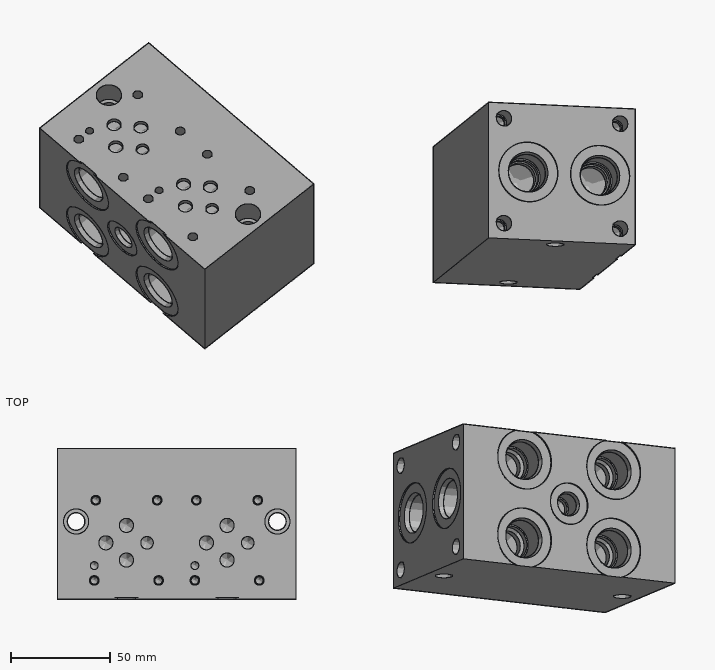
import cadquery as cq
import math

LENGTH = 120.65
WIDTH = 76.2
HEIGHT = 69.85
DRILL_POINT_ANGLE = 118.0

STATION_SPACING = 50.8
STATIONS = [LENGTH / 2 + side * STATION_SPACING / 2 for side in (-1, 1)]

PORT_SPOTFACE_DIA = 30.63
PORT_SEAT_DIA = 20.6
PORT_SEAT_END_DIA = 19.25
PORT_THREAD_DIA = 19.05
PORT_TAP_DRILL_DIA = 17.5
PORT_SEAT_DEPTH = 2.5
PORT_THREAD_DEPTH = 14.3
PORT_TAP_DRILL_DEPTH = 17.5
PORT_PASSAGE_DEPTH = 22.0
WORK_PASSAGE_DIA = 14.3
SUPPLY_PASSAGE_DIA = 15.88
SPOTFACE_DEPTH = 0.8

WORK_PORT_OFFSET_Z = 20.28
PRESSURE_PORT_Y = 18.26
TANK_PORT_Y = 55.56

GAUGE_SPOTFACE_DIA = 21.3
GAUGE_SEAT_DIA = 12.4
GAUGE_SEAT_END_DIA = 11.3
GAUGE_THREAD_DIA = 11.11
GAUGE_TAP_DRILL_DIA = 9.53
GAUGE_SEAT_DEPTH = 2.3
GAUGE_THREAD_DEPTH = 11.5
GAUGE_TAP_DRILL_DEPTH = 14.0

END_HOLE_INSET = 7.9375
END_THREAD_DIA = 7.92
END_TAP_DRILL_DIA = 6.53
END_THREAD_DEPTH = 11.0
END_TAP_DRILL_DEPTH = 13.5

BOLT_SPACING = 101.6
BOLT_Y = 39.3
BOLT_DIA = 8.74
BOLT_HEAD_DIA = 12.7
BOLT_HEAD_DEPTH = 12.7

PATTERN_Y = 50.02
FIRST_ROW_HALF_SPACING = 15.5
SECOND_ROW_HALF_SPACING = 16.25
SECOND_ROW_DROP = 40.5
PIN_DROP = 33.0
SIDE_PORT_ACROSS = 10.4
SIDE_PORT_DROP = 21.5
A_PORT_DROP = 12.7
B_PORT_DROP = 30.2
VALVE_PORT_DIA = 7.14
TANK_VALVE_PORT_DIA = 6.35
VALVE_PORT_DEPTH = 2.3
PIN_DIA = 3.96
PIN_DEPTH = 6.4
SCREW_THREAD_DIA = 4.83
SCREW_TAP_DRILL_DIA = 3.79
SCREW_THREAD_DEPTH = 12.7
SCREW_TAP_DRILL_DEPTH = 15.9


def point_length(diameter):
    """Length of the conical tip left by a drill."""
    return diameter / 2 / math.tan(math.radians(DRILL_POINT_ANGLE / 2))


def turned_cutter(profile, origin, inward):
    """Revolve (radius, depth) points about the axis that enters the block at origin."""
    outline = cq.Workplane("XZ").polyline(profile).close()
    cutter = outline.revolve(360, (0, 0, 0), (0, 1, 0)).val()
    if inward == "+X":
        cutter = cutter.rotate((0, 0, 0), (0, 1, 0), 90)
    elif inward == "+Y":
        cutter = cutter.rotate((0, 0, 0), (1, 0, 0), -90)
    else:
        cutter = cutter.rotate((0, 0, 0), (1, 0, 0), 180)
    return cutter.translate(cq.Vector(*origin))


def drilled_hole(diameter, depth, origin, inward):
    profile = [
        (0, 0),
        (diameter / 2, 0),
        (diameter / 2, depth),
        (0, depth + point_length(diameter)),
    ]
    return turned_cutter(profile, origin, inward)


def tapped_hole(thread_dia, thread_depth, drill_dia, drill_depth, origin, inward):
    profile = [
        (0, 0),
        (thread_dia / 2, 0),
        (thread_dia / 2, thread_depth),
        (drill_dia / 2, thread_depth),
        (drill_dia / 2, drill_depth),
        (0, drill_depth + point_length(drill_dia)),
    ]
    return turned_cutter(profile, origin, inward)


def large_port(passage_dia, origin, inward):
    """Main port whose drill point opens into a narrower passage."""
    passage_start = PORT_TAP_DRILL_DEPTH + point_length(PORT_TAP_DRILL_DIA) - point_length(passage_dia)
    profile = [
        (0, 0),
        (PORT_SPOTFACE_DIA / 2, 0),
        (PORT_SPOTFACE_DIA / 2, SPOTFACE_DEPTH),
        (PORT_SEAT_DIA / 2, SPOTFACE_DEPTH),
        (PORT_SEAT_END_DIA / 2, SPOTFACE_DEPTH + PORT_SEAT_DEPTH),
        (PORT_THREAD_DIA / 2, SPOTFACE_DEPTH + PORT_SEAT_DEPTH),
        (PORT_THREAD_DIA / 2, PORT_THREAD_DEPTH),
        (PORT_TAP_DRILL_DIA / 2, PORT_THREAD_DEPTH),
        (PORT_TAP_DRILL_DIA / 2, PORT_TAP_DRILL_DEPTH),
        (passage_dia / 2, passage_start),
        (passage_dia / 2, PORT_PASSAGE_DEPTH),
        (0, PORT_PASSAGE_DEPTH + point_length(passage_dia)),
    ]
    return turned_cutter(profile, origin, inward)


def gauge_port():
    profile = [
        (0, 0),
        (GAUGE_SPOTFACE_DIA / 2, 0),
        (GAUGE_SPOTFACE_DIA / 2, SPOTFACE_DEPTH),
        (GAUGE_SEAT_DIA / 2, SPOTFACE_DEPTH),
        (GAUGE_SEAT_END_DIA / 2, SPOTFACE_DEPTH + GAUGE_SEAT_DEPTH),
        (GAUGE_THREAD_DIA / 2, SPOTFACE_DEPTH + GAUGE_SEAT_DEPTH),
        (GAUGE_THREAD_DIA / 2, GAUGE_THREAD_DEPTH),
        (GAUGE_TAP_DRILL_DIA / 2, GAUGE_THREAD_DEPTH),
        (GAUGE_TAP_DRILL_DIA / 2, GAUGE_TAP_DRILL_DEPTH),
        (0, GAUGE_TAP_DRILL_DEPTH + point_length(GAUGE_TAP_DRILL_DIA)),
    ]
    return turned_cutter(profile, (LENGTH / 2, 0, HEIGHT / 2), "+Y")


def front_face_cutters():
    cutters = [gauge_port()]
    for x in STATIONS:
        for side in (-1, 1):
            z = HEIGHT / 2 + side * WORK_PORT_OFFSET_Z
            cutters.append(large_port(WORK_PASSAGE_DIA, (x, 0, z), "+Y"))
    return cutters


def end_face_cutters():
    cutters = []
    for y in (PRESSURE_PORT_Y, TANK_PORT_Y):
        cutters.append(large_port(SUPPLY_PASSAGE_DIA, (0, y, HEIGHT / 2), "+X"))
    for y in (END_HOLE_INSET, WIDTH - END_HOLE_INSET):
        for z in (END_HOLE_INSET, HEIGHT - END_HOLE_INSET):
            hole = tapped_hole(
                END_THREAD_DIA, END_THREAD_DEPTH, END_TAP_DRILL_DIA, END_TAP_DRILL_DEPTH, (0, y, z), "+X"
            )
            cutters.append(hole)
    return cutters


def bolt_cutters():
    cutters = []
    for side in (-1, 1):
        profile = [
            (0, 0),
            (BOLT_HEAD_DIA / 2, 0),
            (BOLT_HEAD_DIA / 2, BOLT_HEAD_DEPTH),
            (BOLT_DIA / 2, BOLT_HEAD_DEPTH),
            (BOLT_DIA / 2, HEIGHT),
            (0, HEIGHT),
        ]
        x = LENGTH / 2 + side * BOLT_SPACING / 2
        cutters.append(turned_cutter(profile, (x, BOLT_Y, HEIGHT), "-Z"))
    return cutters


def valve_pattern_cutters(station_x):
    drilled = [
        (0, A_PORT_DROP, VALVE_PORT_DIA, VALVE_PORT_DEPTH),
        (0, B_PORT_DROP, VALVE_PORT_DIA, VALVE_PORT_DEPTH),
        (-SIDE_PORT_ACROSS, SIDE_PORT_DROP, VALVE_PORT_DIA, VALVE_PORT_DEPTH),
        (SIDE_PORT_ACROSS, SIDE_PORT_DROP, TANK_VALVE_PORT_DIA, VALVE_PORT_DEPTH),
        (-SECOND_ROW_HALF_SPACING, PIN_DROP, PIN_DIA, PIN_DEPTH),
    ]
    cutters = []
    for across, drop, diameter, depth in drilled:
        origin = (station_x + across, PATTERN_Y - drop, HEIGHT)
        cutters.append(drilled_hole(diameter, depth, origin, "-Z"))
    screw_rows = [(FIRST_ROW_HALF_SPACING, 0), (SECOND_ROW_HALF_SPACING, SECOND_ROW_DROP)]
    for half_spacing, drop in screw_rows:
        for side in (-1, 1):
            origin = (station_x + side * half_spacing, PATTERN_Y - drop, HEIGHT)
            hole = tapped_hole(
                SCREW_THREAD_DIA, SCREW_THREAD_DEPTH, SCREW_TAP_DRILL_DIA, SCREW_TAP_DRILL_DEPTH, origin, "-Z"
            )
            cutters.append(hole)
    return cutters


all_cutters = front_face_cutters() + end_face_cutters() + bolt_cutters()
for station in STATIONS:
    all_cutters += valve_pattern_cutters(station)

block = cq.Workplane("XY").box(LENGTH, WIDTH, HEIGHT, centered=False)
result = cq.Workplane(block.val().cut(*all_cutters))